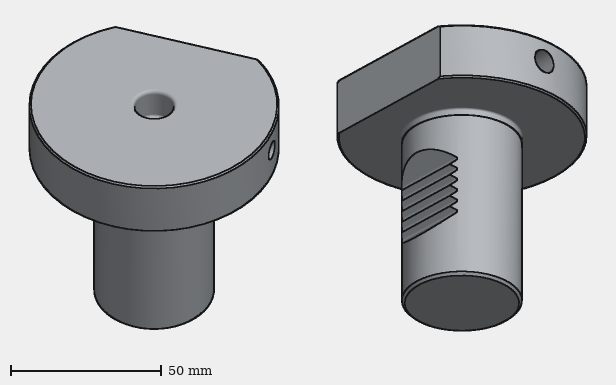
import cadquery as cq
import math

FLANGE_DIAMETER = 83.0
FLANGE_THICKNESS = 20.0
FLANGE_FLAT_Y = 32.5
FLANGE_CHAMFER = 0.6

SHANK_DIAMETER = 40.0
SHANK_LENGTH = 63.0
SHANK_END_CHAMFER = 1.0
NECK_DIAMETER = 39.7
NECK_LENGTH = 2.5
NECK_FILLET = 0.7

BORE_DIAMETER = 13.0
BORE_DEPTH = 11.0
BORE_MOUTH_RADIUS = 1.3
BORE_FLOOR_RADIUS = 0.85

CROSS_HOLE_DEPTH_BELOW_TOP = 8.3
SIDE_HOLE_DIAMETER = 8.3
SIDE_HOLE_DEPTH = 20.0
SIDE_HOLE_FLOOR_DIAMETER = 7.8
PILOT_DIAMETER = 2.6
PILOT_DEPTH = 2.0
FEED_HOLE_DIAMETER = 6.4
FEED_OPENING_DIAMETER = 5.2
FEED_WALL = 0.8

RACK_TOP_Z = -13.1
RACK_PITCH = 4.0
ROOT_COUNT = 6
RACK_FLANK_ANGLE = 45.0
RACK_ROOT_DEPTH = 5.95
RACK_ROOT_RADIUS = 0.8

FLANGE_RADIUS = FLANGE_DIAMETER / 2
SHANK_RADIUS = SHANK_DIAMETER / 2
FEED_HOLE_END_X = BORE_DIAMETER / 2 + FEED_WALL
CROSS_HOLE_Z = FLANGE_THICKNESS - CROSS_HOLE_DEPTH_BELOW_TOP


def cylinder(diameter, z_bottom, height):
    """Upright cylinder on the Z axis."""
    return cq.Workplane("XY").workplane(offset=z_bottom).circle(diameter / 2).extrude(height)


def cross_cylinder(diameter, x_start, length):
    """Cylinder along +X at the height of the cross holes."""
    plane = cq.Plane(origin=(x_start, 0, CROSS_HOLE_Z), xDir=(0, 1, 0), normal=(1, 0, 0))
    return cq.Workplane(plane).circle(diameter / 2).extrude(length)


def make_flange():
    disc = cylinder(FLANGE_DIAMETER, 0, FLANGE_THICKNESS)
    disc = disc.faces("<Z or >Z").edges().chamfer(FLANGE_CHAMFER)
    kept_width = FLANGE_RADIUS + FLANGE_FLAT_Y
    kept_side = (
        cq.Workplane("XY")
        .box(FLANGE_DIAMETER, kept_width, FLANGE_THICKNESS, centered=(True, False, False))
        .translate((0, -FLANGE_RADIUS, 0))
    )
    return disc.intersect(kept_side)


def make_shank():
    """Neck and shank as one turned body with a concave fillet against the flange."""
    neck_radius = NECK_DIAMETER / 2
    fillet_mid = NECK_FILLET * (1 - math.sqrt(0.5))
    profile = (
        cq.Workplane("XZ")
        .moveTo(0, 0)
        .lineTo(neck_radius + NECK_FILLET, 0)
        .threePointArc((neck_radius + fillet_mid, -fillet_mid), (neck_radius, -NECK_FILLET))
        .lineTo(neck_radius, -NECK_LENGTH)
        .lineTo(SHANK_RADIUS, -NECK_LENGTH)
        .lineTo(SHANK_RADIUS, SHANK_END_CHAMFER - SHANK_LENGTH)
        .lineTo(SHANK_RADIUS - SHANK_END_CHAMFER, -SHANK_LENGTH)
        .lineTo(0, -SHANK_LENGTH)
        .close()
    )
    return profile.revolve(360, (0, 0, 0), (0, 1, 0))


def cut_bore(body):
    bore = cylinder(BORE_DIAMETER, FLANGE_THICKNESS - BORE_DEPTH, BORE_DEPTH)
    bore = bore.faces("<Z").edges().fillet(BORE_FLOOR_RADIUS)
    body = body.cut(bore)
    smallest_circle = cq.selectors.RadiusNthSelector(0)
    return body.faces(">Z").edges("%CIRCLE").edges(smallest_circle).fillet(BORE_MOUTH_RADIUS)


def cut_side_hole(body):
    """Blind hole from -X with a rounded floor and a small blind pilot in that floor."""
    floor_radius = (SIDE_HOLE_DIAMETER - SIDE_HOLE_FLOOR_DIAMETER) / 2
    hole = cross_cylinder(SIDE_HOLE_DIAMETER, -FLANGE_RADIUS, SIDE_HOLE_DEPTH)
    hole = hole.faces(">X").edges().fillet(floor_radius)
    pilot = cross_cylinder(PILOT_DIAMETER, -FLANGE_RADIUS, SIDE_HOLE_DEPTH + PILOT_DEPTH)
    return body.cut(hole).cut(pilot)


def cut_feed_hole(body):
    """Hole from +X that stops short of the bore and enters it through a smaller opening."""
    feed = cross_cylinder(FEED_HOLE_DIAMETER, FEED_HOLE_END_X, FLANGE_RADIUS - FEED_HOLE_END_X)
    opening = cross_cylinder(FEED_OPENING_DIAMETER, 0, FEED_HOLE_END_X)
    return body.cut(feed).cut(opening)


def cut_rack(body):
    """One V groove per root; neighbouring grooves leave the teeth, the outer flanks run out as ramps."""
    reach = RACK_ROOT_DEPTH / math.tan(math.radians(RACK_FLANK_ANGLE))
    root_y = SHANK_RADIUS - RACK_ROOT_DEPTH
    for index in range(ROOT_COUNT):
        root_z = RACK_TOP_Z - reach - index * RACK_PITCH
        groove = (
            cq.Workplane("YZ")
            .polyline([(root_y, root_z), (SHANK_RADIUS, root_z + reach), (SHANK_RADIUS, root_z - reach)])
            .close()
            .extrude(SHANK_RADIUS, both=True)
            .edges("<Y")
            .fillet(RACK_ROOT_RADIUS)
        )
        body = body.cut(groove)
    return body


body = make_flange().union(make_shank())
body = cut_bore(body)
body = cut_side_hole(body)
body = cut_feed_hole(body)
result = cut_rack(body)